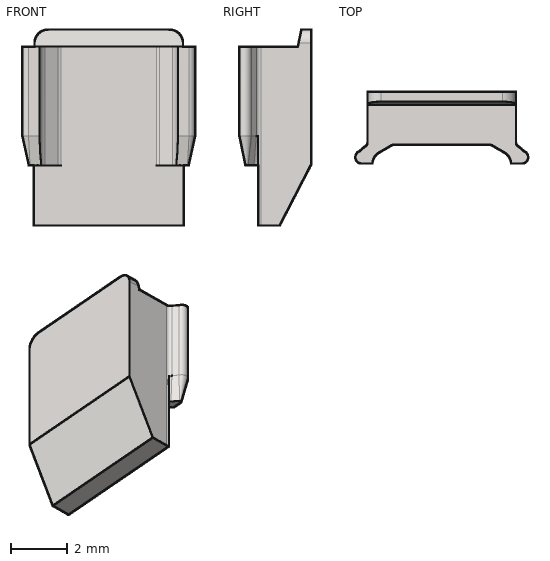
import cadquery as cq

total_height = 6.95
ledge_z = 6.345
taper_start_z = 3.18
leg_bottom_z = 2.14
slope_top_z = 2.17

body_half_width = 2.635
body_front_y = -1.88
leg_front_y = -2.55
slope_bottom_y = -1.12

flare_start_y = -1.78
flare_middle = (2.6585, body_front_y)
flare_end = (2.73, -1.945)
bulb_start = (2.92, -2.11)
bulb_side = (3.065, -2.32)
bulb_front_x = 2.84
leg_inner_x = 2.45
leg_inner_middle = (2.4, -2.35)
web_end = (2.25, -2.18)
web_start = (1.79, -1.92)
web_root_x = 1.69

tip_front_y = -2.335
tip_bulb_front_x = 2.79
tip_bulb_side = (2.835, -2.29)
tip_bulb_start = (2.82, -2.24)
tip_flare_end = (2.59, -2.03)
tip_flare_middle = (2.545, -1.96)
tip_root_x = 2.515
taper_flare_middle = (2.69, -1.91)
taper_inner_x = 1.67

block_half_width = 3.475

lip_top_depth = 0.355
lip_bottom_depth = 0.48
lip_corner_radius = 0.485


def both_sides(half):
    """Join a +X half with its mirror image."""
    return half.union(half.mirror("YZ"))


def half_section():
    """Full-height prism of the +X half of the body with its leg."""
    return (
        cq.Workplane("XY")
        .lineTo(body_half_width, 0)
        .lineTo(body_half_width, flare_start_y)
        .threePointArc(flare_middle, flare_end)
        .lineTo(*bulb_start)
        .threePointArc(bulb_side, (bulb_front_x, leg_front_y))
        .lineTo(leg_inner_x, leg_front_y)
        .threePointArc(leg_inner_middle, web_end)
        .lineTo(*web_start)
        .tangentArcPoint((web_root_x, body_front_y), relative=False)
        .lineTo(0, body_front_y)
        .close()
        .extrude(ledge_z)
    )


def taper_outline(plane, front_y, bulb_front, bulb_mid, bulb_end, flare_top, flare_mid, root_x):
    """Outer outline of a leg, closed along the front face of the body."""
    return (
        plane.moveTo(taper_inner_x, front_y)
        .lineTo(bulb_front, front_y)
        .threePointArc(bulb_mid, bulb_end)
        .lineTo(*flare_top)
        .threePointArc(flare_mid, (root_x, body_front_y))
        .lineTo(taper_inner_x, body_front_y)
        .close()
    )


def taper_envelope():
    """Space occupied by the narrowing lower end of a leg."""
    lower = taper_outline(
        cq.Workplane("XY").workplane(offset=leg_bottom_z),
        tip_front_y, tip_bulb_front_x, tip_bulb_side, tip_bulb_start,
        tip_flare_end, tip_flare_middle, tip_root_x,
    )
    upper = taper_outline(
        lower.workplane(offset=taper_start_z - leg_bottom_z),
        leg_front_y, bulb_front_x, bulb_side, bulb_start,
        flare_end, taper_flare_middle, flare_middle[0],
    )
    return upper.loft(ruled=True, combine=True)


def body_envelope():
    """Body space at every height, widened to full depth above the taper."""
    body = cq.Workplane("XY").box(block_half_width, -body_front_y, ledge_z, centered=False)
    full = cq.Workplane("XY").box(block_half_width, -leg_front_y, ledge_z - taper_start_z, centered=False)
    return (
        body.translate((0, body_front_y, 0))
        .union(full.translate((0, leg_front_y, taper_start_z)))
    )


def lip():
    """Round-cornered upright lip with a sloping front."""
    height = total_height - ledge_z
    blank = (
        cq.Workplane("XY", origin=(0, -lip_bottom_depth / 2, ledge_z))
        .box(2 * body_half_width, lip_bottom_depth, height, centered=(True, True, False))
        .edges("|Y and >Z")
        .fillet(lip_corner_radius)
    )
    wedge = (
        cq.Workplane("YZ")
        .polyline([
            (0, ledge_z),
            (0, total_height),
            (-lip_top_depth, total_height),
            (-lip_bottom_depth, ledge_z),
        ])
        .close()
        .extrude(body_half_width, both=True)
    )
    return blank.intersect(wedge)


def back_slope():
    """Wedge removed from the lower back of the body."""
    return (
        cq.Workplane("YZ")
        .polyline([(0, 0), (0, slope_top_z), (slope_bottom_y, 0)])
        .close()
        .extrude(block_half_width, both=True)
    )


envelope = body_envelope().union(taper_envelope())
half_part = half_section().intersect(envelope)
result = both_sides(half_part).union(lip()).cut(back_slope())